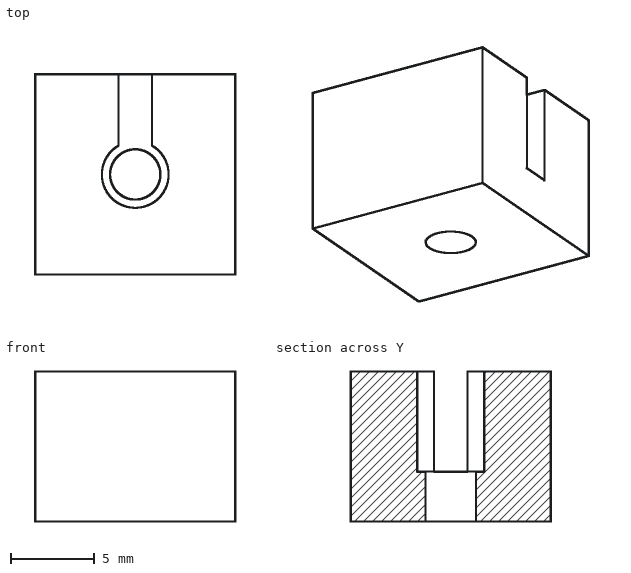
import cadquery as cq

block_side = 12.0
block_height = 9.0

bore_diameter = 4.0
slot_width = 2.0
recess_depth = 6.0

through_diameter = 3.0


def make_block():
    """Square block standing on Z = 0, centred on the Z axis."""
    return cq.Workplane("XY").box(block_side, block_side, block_height, centered=(True, True, False))


def make_keyhole_recess():
    """Round bore joined to a slot that runs out through the +Y side, with one flat floor."""
    slot_length = block_side / 2
    floor = cq.Workplane("XY").workplane(offset=block_height - recess_depth)
    bore = floor.circle(bore_diameter / 2).extrude(recess_depth)
    slot = floor.center(0, slot_length / 2).rect(slot_width, slot_length).extrude(recess_depth)
    return bore.union(slot)


def make_through_hole():
    """Central hole over the full height of the block."""
    return cq.Workplane("XY").circle(through_diameter / 2).extrude(block_height)


result = make_block().cut(make_keyhole_recess()).cut(make_through_hole())